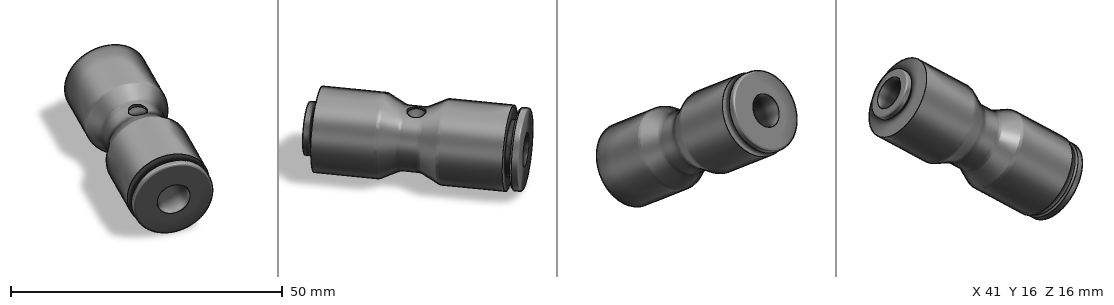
import cadquery as cq

length = 40.95
body_diameter = 16.0
body_radius = body_diameter / 2
bore_radius = 3.2

body_start = 2.13
body_end = 37.95
neck_radius = 6.1
shoulder_left = 14.3
neck_left = 18.1
neck_right = 21.95
shoulder_right = neck_right + neck_left - shoulder_left
blend_radius = 1.3

small_stem_radius = 3.8
small_flange_radius = 5.0
small_flange_width = 1.25
small_rounding = 0.3
large_stem_radius = 5.35
large_flange_radius = 7.75
large_flange_width = 1.7
large_chamfer = 0.35
large_rounding = 0.4

recess_radius = 1.75
recess_floor = 5.53


def disc(radius, start, end):
    """Cylinder along X between two stations."""
    return cq.Workplane("YZ", origin=(start, 0, 0)).circle(radius).extrude(end - start)


def small_flange():
    """Left flange, both rims rounded."""
    return disc(small_flange_radius, 0, small_flange_width).edges().fillet(small_rounding)


def large_flange():
    """Right flange, inner rim chamfered and outer rim rounded."""
    blank = disc(large_flange_radius, length - large_flange_width, length)
    return blank.edges("<X").chamfer(large_chamfer).edges(">X").fillet(large_rounding)


def waisted_body():
    """Cylinder with a conical waist, its four corners rounded."""
    profile = (
        cq.Workplane("XY")
        .moveTo(body_start, 0)
        .lineTo(body_start, body_radius)
        .lineTo(shoulder_left, body_radius)
        .lineTo(neck_left, neck_radius)
        .lineTo(neck_right, neck_radius)
        .lineTo(shoulder_right, body_radius)
        .lineTo(body_end, body_radius)
        .lineTo(body_end, 0)
        .close()
    )
    body = profile.revolve(360, (0, 0, 0), (1, 0, 0))
    waist = cq.selectors.BoxSelector(
        (shoulder_left - blend_radius, -body_diameter, -body_diameter),
        (shoulder_right + blend_radius, body_diameter, body_diameter),
    )
    return body.edges("%CIRCLE").edges(waist).fillet(blend_radius)


def neck_recess():
    """Upright cylinder that cuts a flat-bottomed recess at mid-length."""
    floor = cq.Workplane("XY", origin=(length / 2, 0, recess_floor))
    return floor.circle(recess_radius).extrude(body_radius - recess_floor)


result = (
    waisted_body()
    .union(disc(small_stem_radius, small_flange_width / 2, body_start))
    .union(small_flange())
    .union(disc(large_stem_radius, body_end, length - large_flange_width / 2))
    .union(large_flange())
    .cut(neck_recess())
    .cut(disc(bore_radius, 0, length))
)